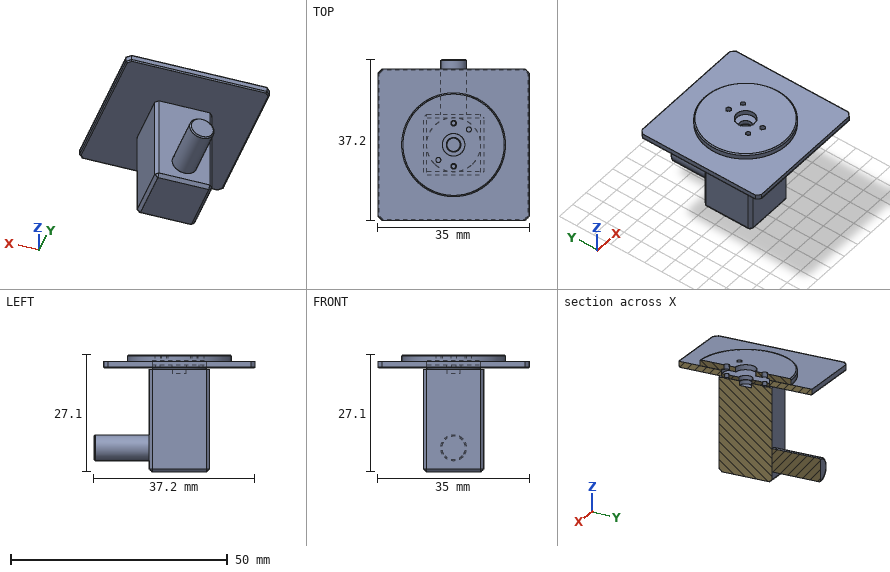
import cadquery as cq
import math

plate_side = 35.0
plate_thickness = 1.6
plate_corner_chamfer = 1.0
plate_bottom_chamfer = 0.3

disc_diameter = 24.0
disc_thickness = 1.5
disc_chamfer = 0.3
disc_bore_diameter = 5.2
disc_recess_depth = 0.22

hole_circle_radius = 5.0
screw_hole_diameter = 1.3
screw_tap_diameter = 1.0
pin_hole_diameter = 1.15
screw_angles = (90, 270)
pin_angles = (45, 225)

overall_height = 27.1
housing_side = 14.0
housing_chamfer = 0.78
housing_gap = 0.25
housing_height = overall_height - disc_thickness - plate_thickness - housing_gap
housing_top = -housing_gap
housing_bottom = housing_top - housing_height
housing_pocket_diameter = 3.05
housing_pocket_depth = 1.0

collar_diameter = 12.5
collar_top = 0.78
collar_height = collar_top - housing_top
collar_bore_diameter = 3.35

overall_depth = 37.2
cable_diameter = 6.0
cable_chamfer = 0.3
cable_axis_height = 5.6
cable_start = housing_side / 2
cable_end = overall_depth - plate_side / 2


def circle_points(angles):
    """Points on the hole circle at the given angles in degrees."""
    return [
        (
            hole_circle_radius * math.cos(math.radians(angle)),
            hole_circle_radius * math.sin(math.radians(angle)),
        )
        for angle in angles
    ]


def make_plate():
    plate = cq.Workplane("XY").rect(plate_side, plate_side).extrude(plate_thickness)
    plate = plate.edges("|Z").chamfer(plate_corner_chamfer)
    plate = plate.faces("<Z").edges().chamfer(plate_bottom_chamfer)
    return plate.faces(">Z").workplane().hole(collar_diameter)


def make_disc():
    disc = cq.Workplane("XY", origin=(0, 0, plate_thickness))
    disc = disc.circle(disc_diameter / 2).extrude(disc_thickness)
    disc = disc.faces(">Z").edges().chamfer(disc_chamfer)
    recess = (
        cq.Workplane("XY", origin=(0, 0, plate_thickness))
        .circle(collar_diameter / 2)
        .extrude(disc_recess_depth)
    )
    disc = disc.cut(recess)
    disc = disc.faces(">Z").workplane(origin=(0, 0, 0)).hole(disc_bore_diameter)
    for angles, diameter in ((screw_angles, screw_hole_diameter), (pin_angles, pin_hole_diameter)):
        top = disc.faces(">Z").workplane(origin=(0, 0, 0))
        disc = top.pushPoints(circle_points(angles)).hole(diameter)
    return disc


def make_collar():
    collar = cq.Workplane("XY", origin=(0, 0, housing_top))
    collar = collar.circle(collar_diameter / 2).extrude(collar_height)
    top = collar.faces(">Z").workplane(origin=(0, 0, 0))
    collar = top.pushPoints(circle_points(screw_angles)).hole(screw_tap_diameter)
    return collar.faces(">Z").workplane(origin=(0, 0, 0)).hole(collar_bore_diameter)


def make_housing():
    housing = cq.Workplane("XY", origin=(0, 0, housing_bottom))
    housing = housing.rect(housing_side, housing_side).extrude(housing_height)
    housing = housing.edges("|Z or <Z").chamfer(housing_chamfer)
    top = housing.faces(">Z").workplane(origin=(0, 0, 0))
    return top.hole(housing_pocket_diameter, housing_pocket_depth)


def make_cable():
    axis_z = housing_bottom + cable_axis_height
    cable = cq.Workplane("XZ", origin=(0, cable_start, axis_z))
    cable = cable.circle(cable_diameter / 2).extrude(cable_start - cable_end)
    return cable.faces(">Y").edges().chamfer(cable_chamfer)


plate = make_plate()
disc = make_disc()
collar = make_collar()
housing = make_housing()
cable = make_cable()

result = cq.Compound.makeCompound(
    [plate.val(), disc.val(), collar.val(), housing.val(), cable.val()]
)